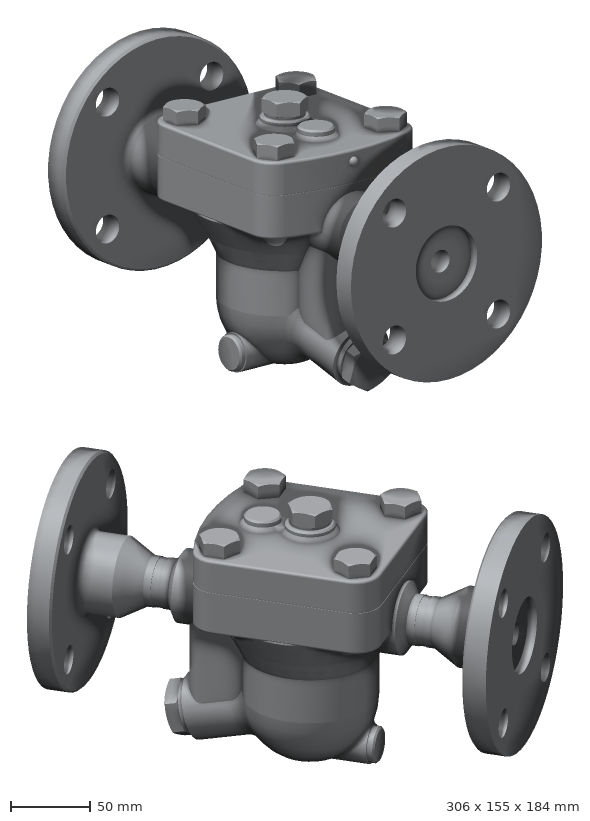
import cadquery as cq
import math


total_height = 184.0
inlet_face_x = -143.0
outlet_face_x = 163.0

flange_radius = 155.0 / 2
flange_thickness = 16.2
flange_edge_chamfer = 1.5
flange_hole_diameter = 19.0
flange_hole_offset = 42.2
recess_radius = 50.0 / 2
recess_depth = 6.0
bore_radius = 15.0 / 2
bore_length = 61.2

hub_fillet = 3.7
hub_radius = 26.3
hub_end = 39.8
neck_radius = 33.0 / 2
neck_start = 57.0
weld_start = 62.0
weld_end = 68.0
weld_groove_depth = 0.45
neck_end = 73.5
stub_radius = 48.0 / 2
stub_start = 78.3

half_width = 62.5
outlet_corner_x = 57.2
bulge_x = 69.2
corner_radius = 17.0
plate_bottom = 0.5
joint_z = 29.7
gasket_thickness = 1.0
gasket_inset = 0.3
cover_top = 52.0
plate_edge_fillet = 1.8

bolt_offset = 45.3
bolt_across_flats = 24.0
bolt_head_height = 9.8

plug_boss_radius = 32.0 / 2
plug_boss_foot_radius = 38.0 / 2
plug_boss_top = 58.0
boss_foot_height = 2.8
plug_collar_radius = 26.0 / 2
plug_hex_bottom = 59.7
plug_hex_top = 69.8
plug_hex_flats = 26.0
small_boss_x = 31.5
small_boss_radius = 24.0 / 2
small_boss_foot_radius = 15.0
small_boss_top = 58.8
boss_edge_chamfer = 1.2
web_foot_width = 18.0
web_top_width = 13.8

pip_radius = 3.5
pip_center_x = 69.0
pip_z = 44.0

bowl_radius = 43.8
bowl_bottom = flange_radius - total_height
dome_center_z = bowl_bottom + bowl_radius
neck_taper_bottom = -32.5
neck_taper_middle = -18.7
neck_middle_radius = 50.5
neck_top_radius = 62.7
pocket_radius = 9.5
pocket_depth = 18.5

rib_half_width = 20.2
rib_end_x = 77.0
rib_edge_radius = 12.0

port_angle = 15.0
port_radius = 44.0 / 2
port_end = 79.3
port_blend_radius = 14.7
cap_collar_radius = 38.0 / 2
cap_collar_end = 83.0
cap_flats = 34.3
cap_end = 93.0

drain_z = -92.0
drain_radius = 26.0 / 2
drain_shoulder = 41.5
drain_cap_radius = 24.0 / 2
side_drain_reach = 46.5
front_drain_reach = 45.5
drain_fillet = 3.0
drain_chamfer = 1.2


def cylinder(radius, bottom, top):
    """Upright cylinder on the Z axis."""
    return cq.Workplane("XY", origin=(0, 0, bottom)).circle(radius).extrude(top - bottom)


def hex_head(across_flats, bottom, top, bevelled_ends=">Z"):
    """Hexagonal head with corners on X; its corners are bevelled at the selected ends."""
    corner_diameter = across_flats / math.cos(math.pi / 6)
    prism = cq.Workplane("XY", origin=(0, 0, bottom)).polygon(6, corner_diameter).extrude(top - bottom)
    bevel = (corner_diameter - across_flats) / 2
    bevelled_round = cylinder(corner_diameter / 2, bottom, top).faces(bevelled_ends).chamfer(bevel / 2, bevel)
    return prism.intersect(bevelled_round)


def pipe_end():
    """Flange, weld neck and stub along +X, starting with the flange face at X = 0."""
    length = -inlet_face_x
    weld_radius = neck_radius - weld_groove_depth
    profile = (
        cq.Workplane("XY")
        .lineTo(0, flange_radius)
        .lineTo(flange_thickness - flange_edge_chamfer, flange_radius)
        .lineTo(flange_thickness, flange_radius - flange_edge_chamfer)
        .lineTo(flange_thickness, hub_radius + hub_fillet)
        .radiusArc((flange_thickness + hub_fillet, hub_radius), -hub_fillet)
        .lineTo(hub_end, hub_radius)
        .lineTo(neck_start, neck_radius)
        .lineTo(weld_start, neck_radius)
        .lineTo(weld_start, weld_radius)
        .lineTo(weld_end, weld_radius)
        .lineTo(weld_end, neck_radius)
        .lineTo(neck_end, neck_radius)
        .lineTo(stub_start, stub_radius)
        .lineTo(length, stub_radius)
        .lineTo(length, 0)
        .close()
    )
    pipe = profile.revolve(360, (0, 0, 0), (1, 0, 0))
    face = cq.Workplane("YZ")
    bolt_holes = (
        face.rect(2 * flange_hole_offset, 2 * flange_hole_offset, forConstruction=True)
        .vertices()
        .circle(flange_hole_diameter / 2)
        .extrude(flange_thickness)
    )
    recess = face.circle(recess_radius).extrude(recess_depth)
    bore = face.circle(bore_radius).extrude(bore_length)
    return pipe.cut(bolt_holes).cut(recess).cut(bore)


def cover_outline(bottom, top, inset=0):
    """Rounded square slab whose slightly shorter +X side bows outward to bulge_x."""
    side = half_width - inset
    slab = (
        cq.Workplane("XY", origin=(0, 0, bottom))
        .moveTo(-side, -side)
        .lineTo(outlet_corner_x - inset, -side)
        .threePointArc((bulge_x - inset, 0), (outlet_corner_x - inset, side))
        .lineTo(-side, side)
        .close()
        .extrude(top - bottom)
    )
    return slab.edges("|Z").fillet(corner_radius)


def cover():
    plate = cover_outline(plate_bottom, joint_z).faces("<Z").edges().fillet(plate_edge_fillet)
    gasket = cover_outline(joint_z, joint_z + gasket_thickness, gasket_inset)
    lid = cover_outline(joint_z + gasket_thickness, cover_top)
    lid = lid.faces(">Z").edges().fillet(plate_edge_fillet)
    pip = cq.Workplane("XY").sphere(pip_radius).translate((pip_center_x, 0, pip_z))
    return plate.union(gasket).union(lid).union(pip)


def cover_bolts():
    """Four heads, each turned a quarter turn from its neighbour about the body axis."""
    head = hex_head(bolt_across_flats, cover_top, cover_top + bolt_head_height)
    head = head.translate((bolt_offset, bolt_offset, 0))
    bolts = head
    for quarter in range(1, 4):
        bolts = bolts.union(head.rotate((0, 0, 0), (0, 0, 1), 90 * quarter))
    return bolts


def footed_boss(x, radius, foot_radius, top):
    """Round boss with a sloped foot and a bevelled top edge."""
    foot_top = cover_top + boss_foot_height
    profile = (
        cq.Workplane("XZ")
        .moveTo(0, cover_top)
        .lineTo(foot_radius, cover_top)
        .lineTo(radius, foot_top)
        .lineTo(radius, top - boss_edge_chamfer)
        .lineTo(radius - boss_edge_chamfer, top)
        .lineTo(0, top)
        .close()
    )
    return profile.revolve(360, (0, 0, 0), (0, 1, 0)).translate((x, 0, 0))


def cover_fittings():
    plug_boss = footed_boss(0, plug_boss_radius, plug_boss_foot_radius, plug_boss_top)
    collar = cylinder(plug_collar_radius, plug_boss_top, plug_hex_bottom)
    plug = hex_head(plug_hex_flats, plug_hex_bottom, plug_hex_top, "<Z or >Z")
    small_boss = footed_boss(small_boss_x, small_boss_radius, small_boss_foot_radius, small_boss_top)
    web = (
        cq.Workplane("YZ")
        .moveTo(-web_foot_width / 2, cover_top)
        .lineTo(web_foot_width / 2, cover_top)
        .lineTo(web_top_width / 2, cover_top + boss_foot_height)
        .lineTo(-web_top_width / 2, cover_top + boss_foot_height)
        .close()
        .extrude(small_boss_x)
    )
    return plug_boss.union(collar).union(plug).union(small_boss).union(web)


def bowl():
    diagonal = math.sqrt(0.5) * bowl_radius
    profile = (
        cq.Workplane("XZ")
        .moveTo(0, bowl_bottom)
        .threePointArc((diagonal, dome_center_z - diagonal), (bowl_radius, dome_center_z))
        .lineTo(bowl_radius, neck_taper_bottom)
        .lineTo(neck_middle_radius, neck_taper_middle)
        .lineTo(neck_top_radius, plate_bottom)
        .lineTo(neck_top_radius, plate_bottom + plate_edge_fillet)
        .lineTo(0, plate_bottom + plate_edge_fillet)
        .close()
    )
    shell = profile.revolve(360, (0, 0, 0), (0, 1, 0))
    bolt_pockets = (
        cq.Workplane("XY", origin=(0, 0, plate_bottom - pocket_depth))
        .rect(2 * bolt_offset, 2 * bolt_offset, forConstruction=True)
        .vertices()
        .circle(pocket_radius)
        .extrude(pocket_depth)
    )
    return shell.cut(bolt_pockets)


def outlet_rib():
    """Upright passage between the strainer port and the outlet stub; its foot stays inside the port."""
    port_slope = math.tan(math.radians(port_angle))
    rib_bottom = dome_center_z - (rib_end_x - rib_edge_radius) * port_slope
    rib = cq.Workplane("XY").box(rib_end_x, 2 * rib_half_width, -rib_bottom, (False, True, False))
    rib = rib.edges("|Z and >X").fillet(rib_edge_radius)
    return rib.translate((0, 0, rib_bottom))


def strainer_port():
    """Port, cap collar and hexagonal cap, built upright and then swung down to face +X."""
    blend_offset = port_radius + port_blend_radius
    blend_center = math.sqrt((bowl_radius + port_blend_radius) ** 2 - blend_offset**2)
    toward_dome = bowl_radius / (bowl_radius + port_blend_radius)
    dome_touch = (blend_offset * toward_dome, blend_center * toward_dome)
    dome_angle = math.atan2(-blend_center, -blend_offset)
    middle_angle = (dome_angle - math.pi) / 2
    blend_middle = (
        blend_offset + port_blend_radius * math.cos(middle_angle),
        blend_center + port_blend_radius * math.sin(middle_angle),
    )
    profile = (
        cq.Workplane("XZ")
        .lineTo(dome_touch[0], 0)
        .lineTo(*dome_touch)
        .threePointArc(blend_middle, (port_radius, blend_center))
        .lineTo(port_radius, port_end)
        .lineTo(cap_collar_radius, port_end)
        .lineTo(cap_collar_radius, cap_collar_end)
        .lineTo(0, cap_collar_end)
        .close()
    )
    port = profile.revolve(360, (0, 0, 0), (0, 1, 0))
    port = port.union(hex_head(cap_flats, cap_collar_end, cap_end, "<Z or >Z"))
    port = port.rotate((0, 0, 0), (0, 1, 0), 90 + port_angle)
    return port.translate((0, 0, dome_center_z))


def drain_plug(reach):
    """Capped plug pointing along -X and ending at the given distance from the body axis."""
    plane = cq.Workplane("YZ", origin=(0, 0, drain_z))
    barrel = plane.circle(drain_radius).extrude(-drain_shoulder)
    cap = plane.circle(drain_cap_radius).extrude(-reach)
    cap = cap.faces("<X").chamfer(drain_chamfer)
    return barrel.union(cap)


def bowl_with_drains():
    """Bowl with both drain plugs; a small fillet blends the -X one into the dome."""
    body = bowl().union(drain_plug(side_drain_reach))
    below_dome_center = cq.selectors.BoxSelector(
        (-bowl_radius, -bowl_radius, bowl_bottom), (bowl_radius, bowl_radius, dome_center_z)
    )
    body = body.edges("%BSPLINE").edges(below_dome_center).fillet(drain_fillet)
    front_drain = drain_plug(front_drain_reach).rotate((0, 0, 0), (0, 0, 1), 90)
    return body.union(front_drain)


inlet = pipe_end().translate((inlet_face_x, 0, 0))
outlet = pipe_end().rotate((0, 0, 0), (0, 0, 1), 180).translate((outlet_face_x, 0, 0))

result = cover()
for feature in (
    cover_bolts(),
    cover_fittings(),
    bowl_with_drains(),
    inlet,
    outlet,
    outlet_rib(),
    strainer_port(),
):
    result = result.union(feature)